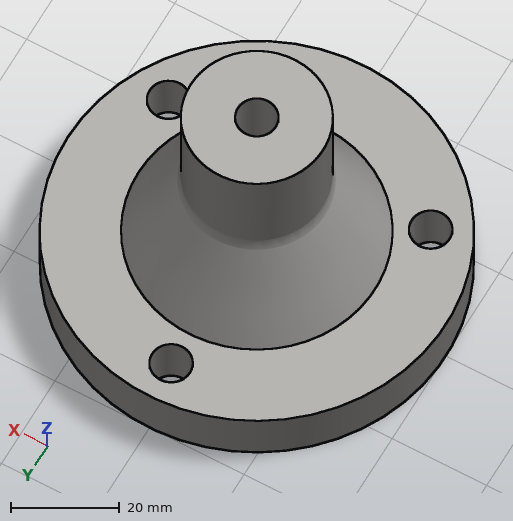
import cadquery as cq

flange_diameter = 80.0
flange_thickness = 12.0

total_height = 55.0
cone_base_diameter = 50.0
neck_diameter = 28.0
cone_height = 20.15
neck_fillet_radius = 4.95

bore_diameter = 8.0
bolt_hole_diameter = 8.0
bolt_circle_radius = 32.0
bolt_hole_count = 3
first_bolt_angle = 90.0


def make_flange():
    return cq.Workplane("XY").circle(flange_diameter / 2).extrude(flange_thickness)


def make_hub():
    """Revolve the cone and neck, then blend the edge where they meet."""
    hub = (
        cq.Workplane("XZ")
        .lineTo(cone_base_diameter / 2, 0)
        .lineTo(neck_diameter / 2, cone_height)
        .lineTo(neck_diameter / 2, total_height - flange_thickness)
        .lineTo(0, total_height - flange_thickness)
        .close()
        .revolve(360, (0, 0, 0), (0, 1, 0))
        .translate((0, 0, flange_thickness))
    )
    narrowest_edges = cq.selectors.RadiusNthSelector(0)
    return hub.edges(narrowest_edges).edges("<Z").fillet(neck_fillet_radius)


def make_holes():
    """Central bore and bolt holes, all running through the full height."""
    bore = cq.Workplane("XY").circle(bore_diameter / 2).extrude(total_height)
    bolt_holes = (
        cq.Workplane("XY")
        .polarArray(bolt_circle_radius, first_bolt_angle, 360, bolt_hole_count)
        .circle(bolt_hole_diameter / 2)
        .extrude(flange_thickness)
    )
    return bore.union(bolt_holes)


result = make_flange().union(make_hub()).cut(make_holes())